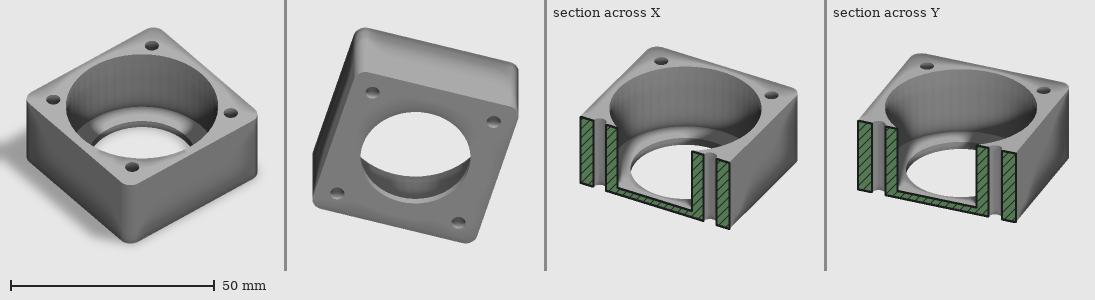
import cadquery as cq

side = 42.0
height = 19.6
corner_radius = 3.0

bore_diameter = 37.4
floor_thickness = 2.0
floor_hole_diameter = 27.0

screw_hole_diameter = 3.5
screw_hole_spacing = 31.0

housing = (
    cq.Workplane("XY")
    .rect(side, side)
    .extrude(height)
    .edges("|Z")
    .fillet(corner_radius)
)

bore = (
    cq.Workplane("XY")
    .workplane(offset=floor_thickness)
    .circle(bore_diameter / 2)
    .extrude(height - floor_thickness)
)

floor_hole = cq.Workplane("XY").circle(floor_hole_diameter / 2).extrude(height)

screw_holes = (
    cq.Workplane("XY")
    .rect(screw_hole_spacing, screw_hole_spacing, forConstruction=True)
    .vertices()
    .circle(screw_hole_diameter / 2)
    .extrude(height)
)

result = housing.cut(bore).cut(floor_hole).cut(screw_holes)